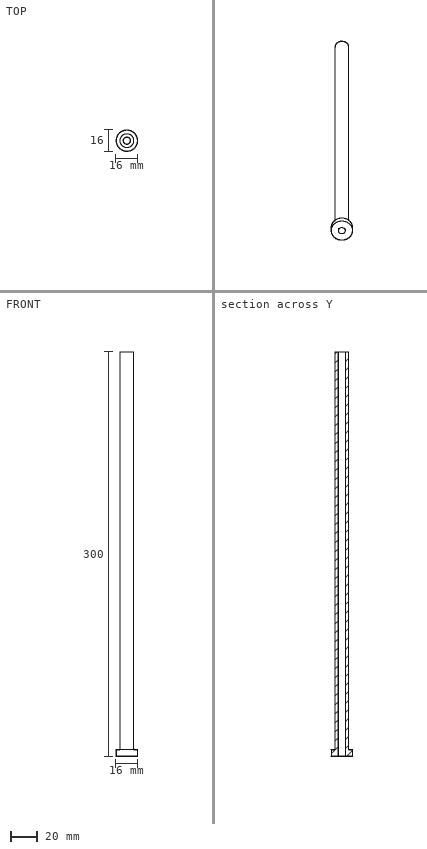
import cadquery as cq

total_length = 300.0

head_diameter = 16.0
head_thickness = 5.0

tube_diameter = 10.2
bore_diameter = 5.0

root_fillet = 0.4


def make_body():
    """Flanged sleeve standing on its head, centred on the Z axis."""
    head = cq.Workplane("XY").circle(head_diameter / 2).extrude(head_thickness)
    tube = cq.Workplane("XY").circle(tube_diameter / 2).extrude(total_length)
    body = head.union(tube)
    inner_edge = cq.selectors.RadiusNthSelector(0)
    return body.faces("<Z[-2]").edges(inner_edge).fillet(root_fillet)


def make_bore():
    """Cylinder removed along the full length."""
    return cq.Workplane("XY").circle(bore_diameter / 2).extrude(total_length)


result = make_body().cut(make_bore())